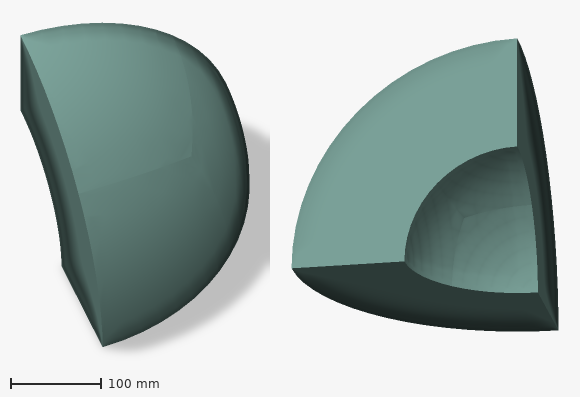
import cadquery as cq

OUTER_RADIUS = 254.0
INNER_RADIUS = OUTER_RADIUS / 2
WEDGE_SIZE = 1.2 * OUTER_RADIUS
SEGMENT_COUNT = 3
ORIGIN = (0, 0, 0)
OCTANT_DIAGONAL = (1, 1, 1)


def make_octant_shell():
    """Shell between the two spheres, in the +X +Y +Z octant."""
    ball = cq.Workplane("XY").sphere(OUTER_RADIUS)
    hollow = cq.Workplane("XY").sphere(INNER_RADIUS)
    octant = cq.Workplane("XY").box(WEDGE_SIZE, WEDGE_SIZE, WEDGE_SIZE, centered=False)
    return ball.cut(hollow).intersect(octant)


def make_wedge(plane, depth):
    """Triangular prism between the Z axis and the 45 degree line of a vertical plane."""
    return (
        cq.Workplane(plane)
        .polyline([(0, 0), (WEDGE_SIZE, WEDGE_SIZE), (0, WEDGE_SIZE)])
        .close()
        .extrude(depth)
    )


def make_segment(index):
    """Third of the shell nearest one axis: Z for index 0, then X, then Y."""
    x_below_z = make_wedge("XZ", -WEDGE_SIZE)
    y_below_z = make_wedge("YZ", WEDGE_SIZE)
    top_segment = make_octant_shell().intersect(x_below_z).intersect(y_below_z)
    return top_segment.rotate(ORIGIN, OCTANT_DIAGONAL, index * 360 / SEGMENT_COUNT)


segments = [make_segment(index) for index in range(SEGMENT_COUNT)]

result = cq.Compound.makeCompound([segment.solids().val() for segment in segments])